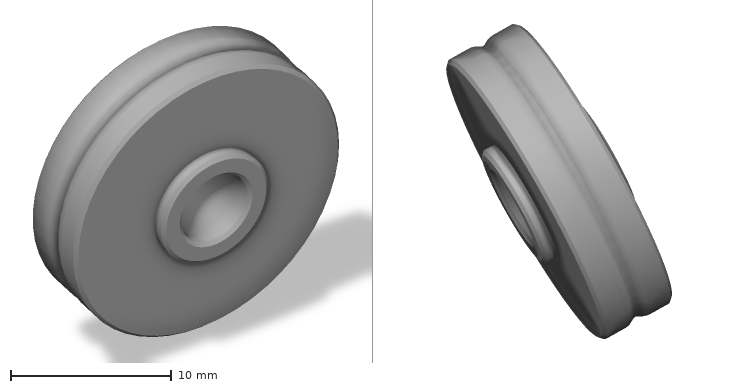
import cadquery as cq
import math

wheel_radius = 10.0
wheel_width = 5.0
hub_radius = 4.0
hub_width = 6.8
bore_radius = 2.5
edge_chamfer = 0.25

groove_depth = 0.3
floor_radius = 0.5
shoulder_radius = 1.0


def cylinder_along_x(radius, width):
    """Cylinder on the X axis, centred on the origin."""
    return cq.Workplane("YZ").circle(radius).extrude(width / 2, both=True)


def groove_cutter():
    """Ring whose section is the groove, with arcs meeting tangentially."""
    arc_angle = math.acos(1 - groove_depth / (floor_radius + shoulder_radius))
    floor_center = wheel_radius - groove_depth + floor_radius
    shoulder_center = wheel_radius - shoulder_radius
    shoulder_x = (floor_radius + shoulder_radius) * math.sin(arc_angle)

    blend_x = floor_radius * math.sin(arc_angle)
    blend_radius = floor_center - floor_radius * math.cos(arc_angle)
    shoulder_mid_x = shoulder_x - shoulder_radius * math.sin(arc_angle / 2)
    shoulder_mid_radius = shoulder_center + shoulder_radius * math.cos(arc_angle / 2)
    cutter_radius = wheel_radius + groove_depth

    return (
        cq.Workplane("XY")
        .moveTo(-shoulder_x, cutter_radius)
        .lineTo(-shoulder_x, wheel_radius)
        .threePointArc((-shoulder_mid_x, shoulder_mid_radius), (-blend_x, blend_radius))
        .threePointArc((0, wheel_radius - groove_depth), (blend_x, blend_radius))
        .threePointArc((shoulder_mid_x, shoulder_mid_radius), (shoulder_x, wheel_radius))
        .lineTo(shoulder_x, cutter_radius)
        .close()
        .revolve(360, (0, 0, 0), (1, 0, 0))
    )


wheel = cylinder_along_x(wheel_radius, wheel_width).faces("<X or >X").chamfer(edge_chamfer)

hub = cylinder_along_x(hub_radius, hub_width)
bore = cylinder_along_x(bore_radius, hub_width)
bored_hub = hub.cut(bore).faces("<X or >X").chamfer(edge_chamfer)

result = wheel.cut(hub).union(bored_hub).cut(groove_cutter())